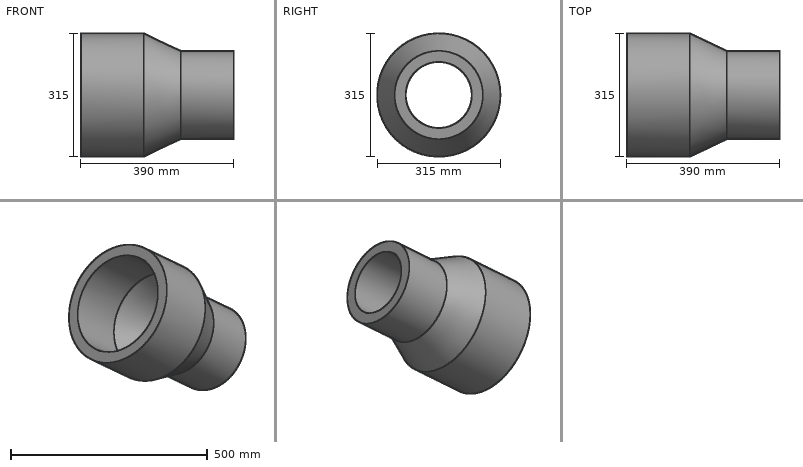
import cadquery as cq

total_length = 390.0
large_length = 160.5
cone_length = 94.5
bore_cone_setback = 9.0

large_outer_diameter = 315.0
large_bore_diameter = 257.8
small_outer_diameter = 225.0
small_bore_diameter = 167.7

large_end = -total_length / 2
outer_cone_start = large_end + large_length
bore_cone_start = outer_cone_start - bore_cone_setback
small_end = total_length / 2


def stepped_cone(large_diameter, small_diameter, cone_start):
    """Solid of revolution about X: large cylinder, cone, small cylinder."""
    large_radius = large_diameter / 2
    small_radius = small_diameter / 2
    cone_end = cone_start + cone_length
    return (
        cq.Workplane("XY")
        .moveTo(large_end, 0)
        .lineTo(large_end, large_radius)
        .lineTo(cone_start, large_radius)
        .lineTo(cone_end, small_radius)
        .lineTo(small_end, small_radius)
        .lineTo(small_end, 0)
        .close()
        .revolve(360, (0, 0, 0), (1, 0, 0))
    )


outer_body = stepped_cone(large_outer_diameter, small_outer_diameter, outer_cone_start)
bore = stepped_cone(large_bore_diameter, small_bore_diameter, bore_cone_start)

result = outer_body.cut(bore)